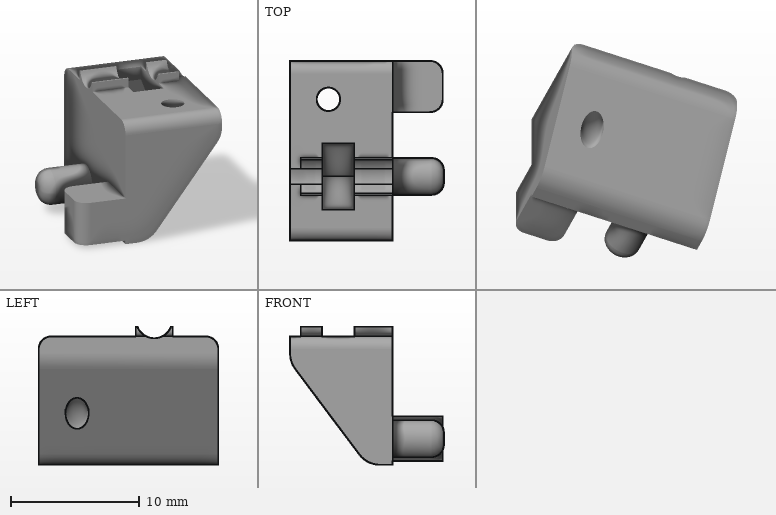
import cadquery as cq
import math

housing_length = 8.0
housing_width = 14.0
housing_height = 10.01
slope_drop = 2.0
slope_foot_x = 6.0
slope_blend_radius = 2.0
top_edge_radius = 1.0

hole_diameter = 1.8
hole_x = 3.0
hole_y = 4.0

axis_y = -2.0

pocket_start_x = 2.5
pocket_end_x = 5.01
pocket_across_flats = 5.17
pocket_depth = 2.55
pocket_floor_angle = 30

pin_diameter = 2.9
pin_length = 4.0
pin_axis_z = 2.05
pin_end_radius = 1.0
tab_length = 3.9
tab_width = 4.0
tab_height = 3.5
tab_corner_radius = 1.0

rail_height = 0.75
rail_outer_width = pin_diameter
front_rail_start_x = 0.84
groove_radius = 1.4
groove_depth = 0.14
groove_axis_z = housing_height - groove_depth + groove_radius
rail_spans = [(front_rail_start_x, pocket_start_x), (pocket_end_x, housing_length)]


def x_cylinder(radius, start_x, length, y, z):
    """Round bar running along +X from start_x."""
    return cq.Workplane("YZ", origin=(start_x, y, z)).circle(radius).extrude(length)


def make_groove():
    return x_cylinder(groove_radius, 0, housing_length, axis_y, groove_axis_z)


def make_pocket():
    """Hexagonal prism with upright side flats, sunk into the top face."""
    half_width = pocket_across_flats / 2
    corner_rise = half_width * math.tan(math.radians(pocket_floor_angle))
    bottom_z = housing_height - pocket_depth
    return (
        cq.Workplane("YZ", origin=(pocket_start_x, axis_y, 0))
        .moveTo(0, bottom_z)
        .lineTo(half_width, bottom_z + corner_rise)
        .lineTo(half_width, housing_height)
        .lineTo(-half_width, housing_height)
        .lineTo(-half_width, bottom_z + corner_rise)
        .close()
        .extrude(pocket_end_x - pocket_start_x)
    )


def make_housing():
    slope_top_z = housing_height - slope_drop
    wedge = (
        cq.Workplane("XZ")
        .moveTo(0, housing_height)
        .lineTo(housing_length, housing_height)
        .lineTo(housing_length, 0)
        .lineTo(slope_foot_x, 0)
        .lineTo(0, slope_top_z)
        .close()
        .extrude(housing_width / 2, both=True)
    )
    for x, z in [(0, slope_top_z), (slope_foot_x, 0)]:
        wedge = wedge.edges(cq.NearestToPointSelector((x, 0, z))).fillet(slope_blend_radius)
    wedge = wedge.faces(">Z").edges("|X").fillet(top_edge_radius)

    hole = (
        cq.Workplane("XY")
        .center(hole_x, hole_y)
        .circle(hole_diameter / 2)
        .extrude(housing_height)
    )
    return wedge.cut(hole).cut(make_groove()).cut(make_pocket())


def make_rail(start_x, end_x, side):
    """One rail of the cradle; side is +1 for the +Y rail and -1 for the -Y rail."""
    half_width = rail_outer_width / 2
    block = (
        cq.Workplane("XY")
        .box(end_x - start_x, half_width, rail_height, centered=(False, True, False))
        .translate((start_x, axis_y + side * half_width / 2, housing_height))
    )
    return block.cut(make_groove())


def make_pin():
    pin = x_cylinder(pin_diameter / 2, housing_length, pin_length, axis_y, pin_axis_z)
    return pin.faces(">X").edges().fillet(pin_end_radius)


def make_tab():
    """Tab level with the +Y side of the housing, at the height of the pin."""
    return (
        cq.Workplane("XY")
        .box(tab_length, tab_width, tab_height, centered=(False, True, True))
        .translate((housing_length, (housing_width - tab_width) / 2, pin_axis_z))
        .edges("|Z and >X")
        .fillet(tab_corner_radius)
    )


housing = make_housing()
pin = make_pin()
tab = make_tab()
rails = [
    make_rail(start_x, end_x, side).val()
    for start_x, end_x in rail_spans
    for side in (1, -1)
]

result = cq.Compound.makeCompound([housing.val(), pin.val(), tab.val(), *rails])